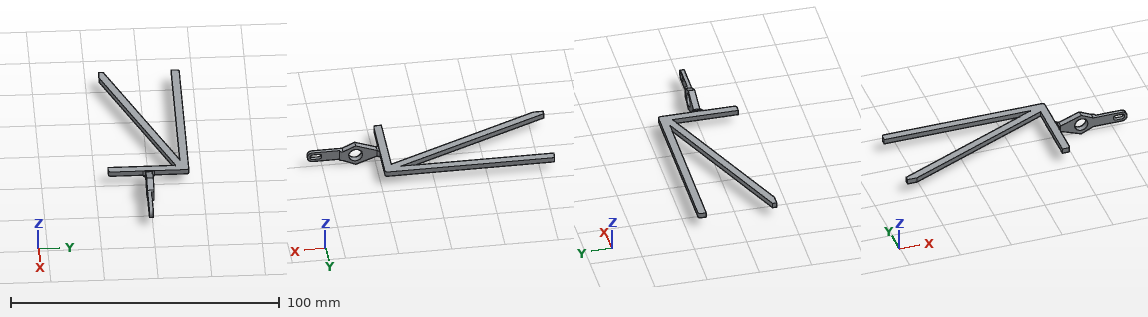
import cadquery as cq
import math

length = 91.0
depth = 30.0
bar_width = 3.0
bar_height = 2.0
round_radius = 1.0
frame_length = 63.9

brace_angle = 23.8
brace_end_y = 1.6

lug_thickness = 2.5
lug_front = (depth - lug_thickness) / 2
lug_back = lug_front + lug_thickness
root_height = 2.55
root_bevel = 1.0
root_rise = 0.3
root_rise_end = frame_length + root_rise
root_end = frame_length + root_bevel
peak_x = 73.0
peak_height = 8.5
hole_diameter = 5.1
waist_x = 77.7
strap_height = 4.0
strap_thickness = lug_thickness - round_radius
shoulder_x = 79.0
slot_height = 2.0
slot_length = 4.4
slot_margin = 1.0


def make_frame():
    """Flat frame: back bar, right bar and a brace running into their corner."""
    def flat_bar(x, y, size_x, size_y):
        return (cq.Workplane("XY").box(size_x, size_y, bar_height, centered=(False, False, True))
                .translate((x, y, 0)))

    back_bar = flat_bar(0, depth - bar_width, frame_length, bar_width)
    right_bar = flat_bar(frame_length - bar_width, 0, bar_width, depth)
    corner = back_bar.union(right_bar)
    corner = corner.edges("|Z and >Y").fillet(round_radius)
    corner = corner.edges("|Z and >X and <Y").fillet(round_radius)

    slope = math.tan(math.radians(brace_angle))
    drop = bar_width / math.cos(math.radians(brace_angle))
    inner_x = frame_length - bar_width
    inner_y = depth - bar_width
    brace = (cq.Workplane("XY").workplane(offset=-bar_height / 2)
             .polyline([(0, 0),
                        (0, brace_end_y),
                        ((inner_y - brace_end_y) / slope, inner_y),
                        (inner_x, inner_y),
                        (inner_x, brace_end_y - drop + inner_x * slope),
                        ((drop - brace_end_y) / slope, 0)])
             .close().extrude(bar_height))
    return corner.union(brace)


def make_lug():
    """Diamond with a thin round-ended strap, cut from one outline seen along Y."""
    half_bar = bar_height / 2
    half_root = root_height / 2
    half_peak = peak_height / 2
    half_strap = strap_height / 2
    strap_end_x = length - half_strap
    outline = (cq.Workplane("XZ", origin=(0, lug_back, 0))
               .moveTo(frame_length, -half_bar)
               .lineTo(root_rise_end, -half_root)
               .lineTo(root_end, -half_root)
               .lineTo(peak_x, -half_peak)
               .lineTo(waist_x, -half_strap)
               .lineTo(strap_end_x, -half_strap)
               .threePointArc((length, 0), (strap_end_x, half_strap))
               .lineTo(waist_x, half_strap)
               .lineTo(peak_x, half_peak)
               .lineTo(root_end, half_root)
               .lineTo(root_rise_end, half_root)
               .lineTo(frame_length, half_bar)
               .close().extrude(lug_thickness))

    strap_back = lug_front + strap_thickness
    shoulder = (cq.Workplane("XY").workplane(offset=-peak_height / 2)
                .moveTo(frame_length, lug_front)
                .lineTo(length, lug_front)
                .lineTo(length, strap_back)
                .lineTo(shoulder_x, strap_back)
                .radiusArc((shoulder_x - round_radius, lug_back), -round_radius)
                .lineTo(frame_length, lug_back)
                .close().extrude(peak_height))
    lug = outline.intersect(shoulder)

    hole = (cq.Workplane("XZ", origin=(peak_x, lug_back, 0))
            .circle(hole_diameter / 2).extrude(lug_thickness))
    slot_x = length - slot_margin - slot_length / 2
    slot = (cq.Workplane("XZ", origin=(slot_x, lug_back, 0))
            .slot2D(slot_length, slot_height).extrude(lug_thickness))
    return lug.cut(hole).cut(slot)


def make_root():
    """Bevels that spread the lug's root along the frame's right side."""
    flare_front = lug_front - root_bevel
    flare_back = lug_back + root_bevel
    half_bar = bar_height / 2
    half_root = root_height / 2
    flare = (cq.Workplane("XY").workplane(offset=-half_root)
             .polyline([(frame_length, flare_front),
                        (root_end, lug_front),
                        (root_end, lug_back),
                        (frame_length, flare_back)])
             .close().extrude(root_height))
    rise = (cq.Workplane("XZ", origin=(0, flare_back, 0))
            .polyline([(frame_length, -half_bar),
                       (root_rise_end, -half_root),
                       (root_end, -half_root),
                       (root_end, half_root),
                       (root_rise_end, half_root),
                       (frame_length, half_bar)])
            .close().extrude(flare_back - flare_front))
    return flare.intersect(rise)


result = make_frame().union(make_lug()).union(make_root())